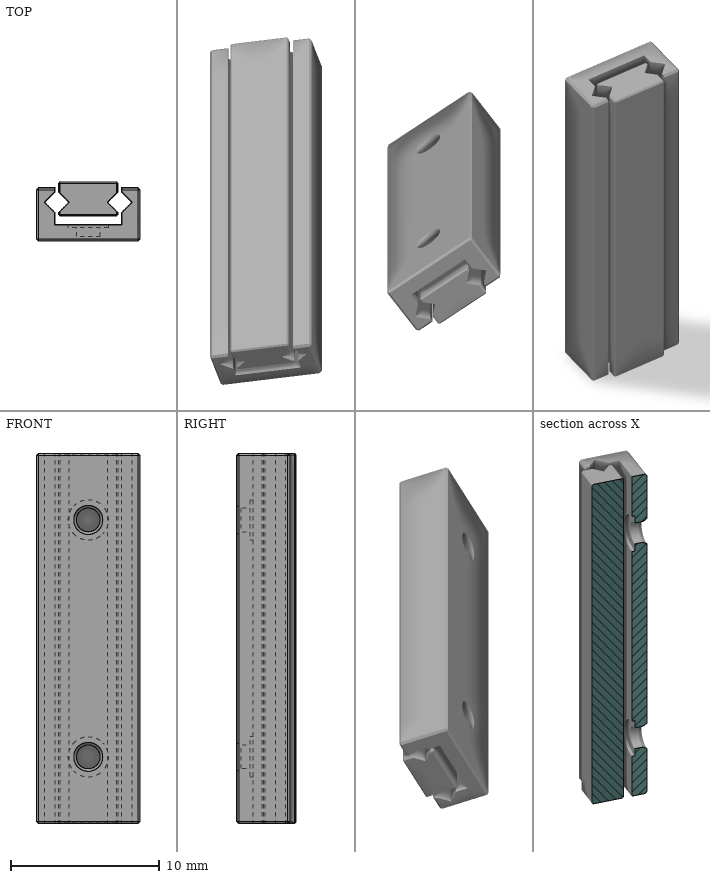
import cadquery as cq

length = 25.0
total_height = 4.0
back_y = -total_height / 2

rail_width = 7.0
rail_height = 3.6
rail_floor = 1.1
rail_chamfer = 0.15
channel_half_width = 2.25
rail_top_y = back_y + rail_height
channel_floor_y = back_y + rail_floor

groove_y = 0.61
groove_depth = 0.7

carriage_half_width = 2.0
carriage_top_y = total_height / 2
carriage_bottom_y = -0.3
carriage_chamfer = 0.1

hole_diameter = 1.6
hole_mouth_diameter = 1.96
hole_mouth_depth = 0.3
screw_head_diameter = 2.72
screw_head_depth = 0.2
hole_spacing = 16.0


def track_groove(wall_x):
    """Square bar whose corner sinks into the wall at wall_x, for one V groove."""
    return (
        cq.Workplane("XY", origin=(0, 0, -length / 2))
        .moveTo(wall_x - groove_depth, groove_y)
        .lineTo(wall_x, groove_y + groove_depth)
        .lineTo(wall_x + groove_depth, groove_y)
        .lineTo(wall_x, groove_y - groove_depth)
        .close()
        .extrude(length)
    )


def mounting_hole(z):
    """Through hole in the rail floor with a conical mouth outside and a counterbore inside."""
    bore = (
        cq.Workplane("XZ", origin=(0, channel_floor_y, z))
        .circle(hole_diameter / 2)
        .extrude(rail_floor)
    )
    mouth = (
        cq.Workplane("XZ", origin=(0, back_y, z))
        .circle(hole_mouth_diameter / 2)
        .workplane(offset=-hole_mouth_depth)
        .circle(hole_diameter / 2)
        .loft()
    )
    screw_head = (
        cq.Workplane("XZ", origin=(0, channel_floor_y, z))
        .circle(screw_head_diameter / 2)
        .extrude(screw_head_depth)
    )
    return bore.union(mouth).union(screw_head)


def make_rail():
    rail = (
        cq.Workplane("XY")
        .box(rail_width, rail_height, length)
        .translate((0, back_y + rail_height / 2, 0))
        .edges()
        .chamfer(rail_chamfer)
    )
    channel_depth = rail_top_y - channel_floor_y
    channel = (
        cq.Workplane("XY")
        .box(2 * channel_half_width, channel_depth, length)
        .translate((0, channel_floor_y + channel_depth / 2, 0))
    )
    rail = rail.cut(channel)
    for side in (-1, 1):
        rail = rail.cut(track_groove(side * channel_half_width))
    for z in (-hole_spacing / 2, hole_spacing / 2):
        rail = rail.cut(mounting_hole(z))
    return rail


def make_carriage():
    carriage_height = carriage_top_y - carriage_bottom_y
    carriage = (
        cq.Workplane("XY")
        .box(2 * carriage_half_width, carriage_height, length)
        .translate((0, carriage_bottom_y + carriage_height / 2, 0))
        .edges()
        .chamfer(carriage_chamfer)
    )
    for side in (-1, 1):
        carriage = carriage.cut(track_groove(side * carriage_half_width))
    return carriage


rail = make_rail()
carriage = make_carriage()

result = cq.Compound.makeCompound([rail.val(), carriage.val()])